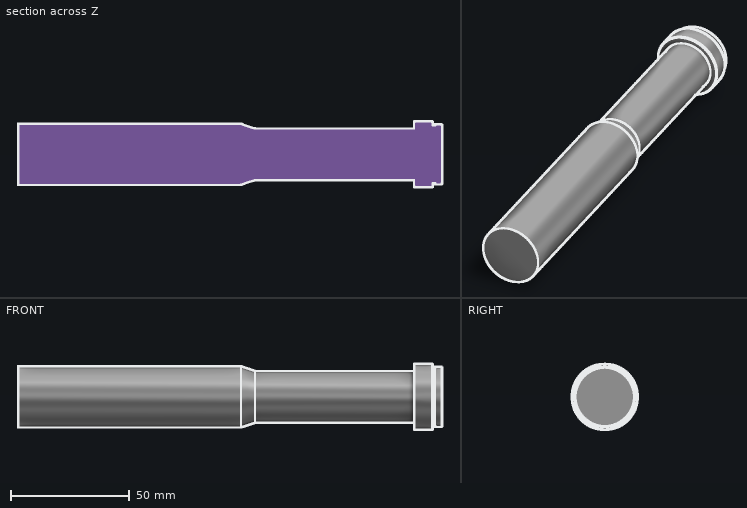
import cadquery as cq

total_length = 179.0
shank_length = 94.0
taper_length = 6.0
collar_start = 167.0
collar_length = 8.0
groove_width = 1.0

shank_diameter = 26.0
neck_diameter = 22.0
collar_diameter = 28.0
groove_diameter = 24.5
tip_diameter = 25.5

collar_chamfer = 0.3
tip_chamfer = 0.4

neck_start = shank_length + taper_length
collar_end = collar_start + collar_length
tip_start = collar_end + groove_width
shank_radius = shank_diameter / 2
neck_radius = neck_diameter / 2
collar_radius = collar_diameter / 2
groove_radius = groove_diameter / 2
tip_radius = tip_diameter / 2


def turned_profile():
    """Closed half section of the pin in the XZ plane, resting on the X axis."""
    return (
        cq.Workplane("XZ")
        .moveTo(0, 0)
        .lineTo(0, shank_radius)
        .lineTo(shank_length, shank_radius)
        .lineTo(neck_start, neck_radius)
        .lineTo(collar_start, neck_radius)
        .lineTo(collar_start, collar_radius - collar_chamfer)
        .lineTo(collar_start + collar_chamfer, collar_radius)
        .lineTo(collar_end - collar_chamfer, collar_radius)
        .lineTo(collar_end, collar_radius - collar_chamfer)
        .lineTo(collar_end, groove_radius)
        .lineTo(tip_start, groove_radius)
        .lineTo(tip_start, tip_radius)
        .lineTo(total_length - tip_chamfer, tip_radius)
        .lineTo(total_length, tip_radius - tip_chamfer)
        .lineTo(total_length, 0)
        .close()
    )


axis_start = (0, 0, 0)
axis_end = (1, 0, 0)
full_turn = 360
result = turned_profile().revolve(full_turn, axis_start, axis_end)